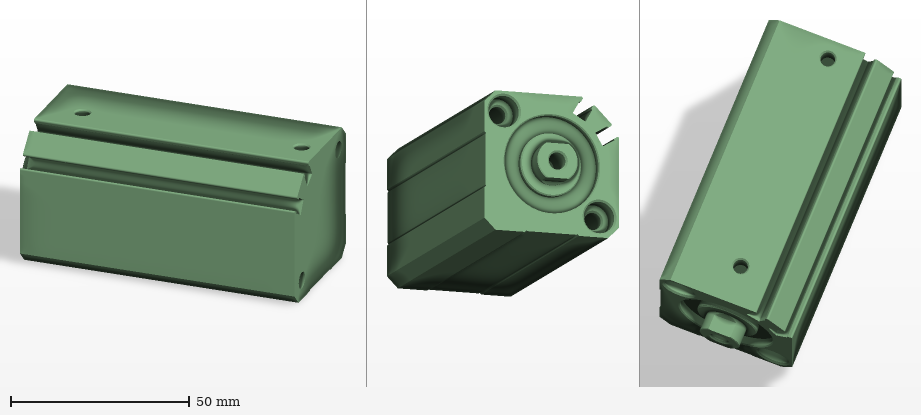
import cadquery as cq
import math


total_length = 87.5
rod_protrusion = 5.0
housing_length = total_length - rod_protrusion
housing_side = 40.0
half_side = housing_side / 2
corner_chamfer = 3.2
sensor_corner_chamfer = 9.45

relief_depth = 0.3
relief_groove_depth = 0.5
relief_groove_spacing = 15.05

slot_angles = (30.0, 60.0)
slot_width = 4.4
slot_opening = 3.5
slot_floor_radius = 16.2
slot_lip_radius = 20.2
slot_corner_round = 0.3
lip_outer_round = 0.4
lip_inner_round = 0.3
position_tolerance = 0.01

mount_offset = 14.2
mount_diameter = 4.9
counterbore_diameter = 9.0
counterbore_depth = 5.5
mount_chamfer = 0.5

recess_diameter = 28.0
recess_depth = 2.5
boss_diameter = 18.0
boss_setback = 0.6
front_chamfer = 0.35

port_positions = (11.0, 76.9)
port_diameter = 4.1
port_depth = 5.0
port_chamfer = 0.4

rod_diameter = 12.0
rod_embedded_length = 35.0
rod_tip_chamfer_length = 0.2
rod_tip_chamfer_height = 0.35
flat_spacing = 10.0
flat_runout_angle = 45.0
rod_hole_diameter = 4.9
rod_hole_depth = 10.5
rod_hole_chamfer = 0.5
drill_point_angle = 118.0


def cylinder_along_x(diameter, x_start, length, y=0.0, z=0.0):
    return cq.Workplane(
        cq.Solid.makeCylinder(diameter / 2, length, cq.Vector(x_start, y, z), cq.Vector(1, 0, 0))
    )


def countersink(diameter, chamfer, base, direction):
    """Cone that chamfers the rim of a hole by the same amount in depth and radius."""
    radius = diameter / 2
    return cq.Workplane(
        cq.Solid.makeCone(radius + chamfer, radius, chamfer, cq.Vector(*base), cq.Vector(*direction))
    )


def housing_profile():
    """Square prism with three small corner chamfers and one large one for the sensor slots."""
    h = half_side
    c = corner_chamfer
    s = sensor_corner_chamfer
    outline = [
        (h - c, -h),
        (h, -h + c),
        (h, h - c),
        (h - c, h),
        (-h + s, h),
        (-h, h - s),
        (-h, -h + c),
        (-h + c, -h),
    ]
    return cq.Workplane("YZ").polyline(outline).close().extrude(housing_length)


def bottom_relief():
    """Cutter for the relief of the -Z face."""
    g = relief_groove_spacing / 2
    face = -half_side
    floor = face + relief_depth
    groove_bottom = face + relief_groove_depth
    inner = g - (relief_groove_depth - relief_depth)
    outer = g + relief_groove_depth
    outline = [
        (-outer, face),
        (-g, groove_bottom),
        (-inner, floor),
        (inner, floor),
        (g, groove_bottom),
        (outer, face),
    ]
    return cq.Workplane("YZ").polyline(outline).close().extrude(housing_length)


def sensor_slot(angle):
    """Slot with an undercut, open to the outside, at an angle above the -Y direction."""
    w = slot_width / 2
    g = slot_opening / 2
    outside = housing_side
    outline = [
        (-slot_floor_radius, -w),
        (-slot_lip_radius, -w),
        (-slot_lip_radius, -g),
        (-outside, -g),
        (-outside, g),
        (-slot_lip_radius, g),
        (-slot_lip_radius, w),
        (-slot_floor_radius, w),
    ]
    slot = cq.Workplane("YZ").polyline(outline).close().extrude(housing_length)
    slot = slot.edges("|X").edges(">Y").fillet(slot_corner_round)
    return slot.rotate((0, 0, 0), (1, 0, 0), -angle)


def is_lip_edge(edge, outer):
    """True for the outer (or inner) long edges of the lips that narrow a slot."""
    middle = edge.Center()
    for angle in slot_angles:
        a = math.radians(angle)
        along = -middle.y * math.cos(a) + middle.z * math.sin(a)
        across = middle.y * math.sin(a) + middle.z * math.cos(a)
        on_lip = abs(abs(across) - slot_opening / 2) < position_tolerance
        beyond_shoulder = along > slot_lip_radius + position_tolerance
        if on_lip and along > slot_floor_radius and beyond_shoulder == outer:
            return True
    return False


def round_slot_lips(body):
    for outer, radius in ((True, lip_outer_round), (False, lip_inner_round)):
        body = body.edges("|X").filter(lambda edge: is_lip_edge(edge, outer)).fillet(radius)
    return body


def mounting_hole(y, z):
    hole = cylinder_along_x(mount_diameter, 0, housing_length, y, z)
    counterbore = cylinder_along_x(counterbore_diameter, 0, counterbore_depth, y, z)
    outer_rim = countersink(counterbore_diameter, mount_chamfer, (0, y, z), (1, 0, 0))
    inner_rim = countersink(mount_diameter, mount_chamfer, (counterbore_depth, y, z), (1, 0, 0))
    return hole.union(counterbore).union(outer_rim).union(inner_rim)


def front_recess():
    """Ring recess that leaves a chamfered boss around the rod."""
    pocket = cylinder_along_x(recess_diameter, 0, recess_depth)
    rim = countersink(recess_diameter, front_chamfer, (0, 0, 0), (1, 0, 0))
    boss = cylinder_along_x(boss_diameter, boss_setback, recess_depth - boss_setback)
    boss = boss.faces("<X").chamfer(front_chamfer)
    return pocket.union(rim).cut(boss)


def air_port(x):
    hole = cq.Workplane(
        cq.Solid.makeCylinder(port_diameter / 2, port_depth, cq.Vector(x, 0, half_side), cq.Vector(0, 0, -1))
    )
    return hole.union(countersink(port_diameter, port_chamfer, (x, 0, half_side), (0, 0, -1)))


def make_housing():
    relief = bottom_relief()
    housing = housing_profile().cut(relief).cut(relief.rotate((0, 0, 0), (1, 0, 0), 90))
    for angle in slot_angles:
        housing = housing.cut(sensor_slot(angle))
    housing = round_slot_lips(housing)
    for side in (1, -1):
        housing = housing.cut(mounting_hole(side * mount_offset, side * mount_offset))
    housing = housing.cut(front_recess())
    for x in port_positions:
        housing = housing.cut(air_port(x))
    return housing.cut(cylinder_along_x(rod_diameter, 0, rod_embedded_length))


def rod_flat():
    """Cutter for the upper wrench flat; its sloped end runs out at the boss face."""
    flat = flat_spacing / 2
    top = rod_diameter / 2
    runout = (top - flat) / math.tan(math.radians(flat_runout_angle))
    outline = [
        (-rod_protrusion, flat),
        (boss_setback - runout, flat),
        (boss_setback, top),
        (-rod_protrusion, top),
    ]
    return cq.Workplane("XZ").polyline(outline).close().extrude(rod_diameter / 2, both=True)


def rod_thread_hole():
    tip = -rod_protrusion
    radius = rod_hole_diameter / 2
    point_length = radius / math.tan(math.radians(drill_point_angle / 2))
    hole = cylinder_along_x(rod_hole_diameter, tip, rod_hole_depth)
    point = cq.Workplane(
        cq.Solid.makeCone(radius, 0, point_length, cq.Vector(tip + rod_hole_depth, 0, 0), cq.Vector(1, 0, 0))
    )
    rim = countersink(rod_hole_diameter, rod_hole_chamfer, (tip, 0, 0), (1, 0, 0))
    return hole.union(point).union(rim)


def chamfered_rod_blank():
    """Plain rod with a shallow chamfer at its tip."""
    radius = rod_diameter / 2
    tip = -rod_protrusion
    chamfer_end = tip + rod_tip_chamfer_length
    half_section = [
        (tip, 0),
        (tip, radius - rod_tip_chamfer_height),
        (chamfer_end, radius),
        (rod_embedded_length, radius),
        (rod_embedded_length, 0),
    ]
    return cq.Workplane("XZ").polyline(half_section).close().revolve(360, (0, 0, 0), (1, 0, 0))


def make_rod():
    upper_flat = rod_flat()
    rod = chamfered_rod_blank().cut(upper_flat).cut(upper_flat.mirror("XY"))
    return rod.cut(rod_thread_hole())


housing = make_housing()
rod = make_rod()
result = cq.Compound.makeCompound([housing.val(), rod.val()])